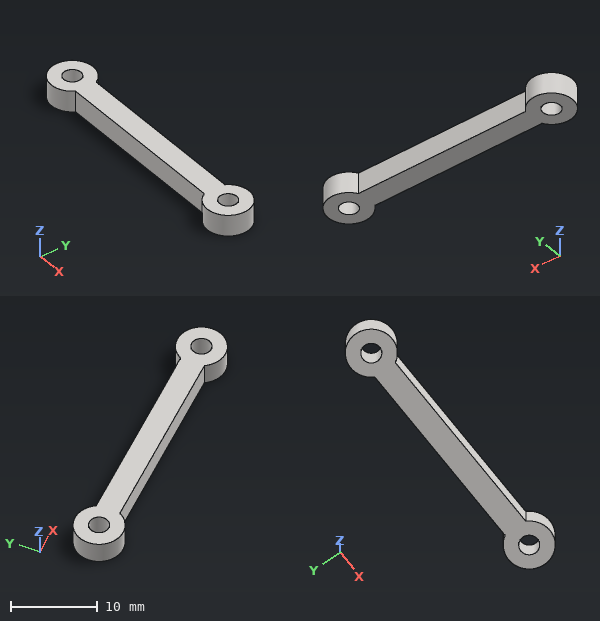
import cadquery as cq

overall_length = 36.0
eye_diameter = 6.0
hole_diameter = 2.4
thickness = 3.0
bar_width = 3.0

eye_spacing = overall_length - eye_diameter
eye_centers = [(-eye_spacing / 2, 0), (eye_spacing / 2, 0)]

bar = cq.Workplane("XY").rect(eye_spacing, bar_width).extrude(thickness)

eyes = cq.Workplane("XY").pushPoints(eye_centers).circle(eye_diameter / 2).extrude(thickness)

holes = cq.Workplane("XY").pushPoints(eye_centers).circle(hole_diameter / 2).extrude(thickness)

result = bar.union(eyes).cut(holes)